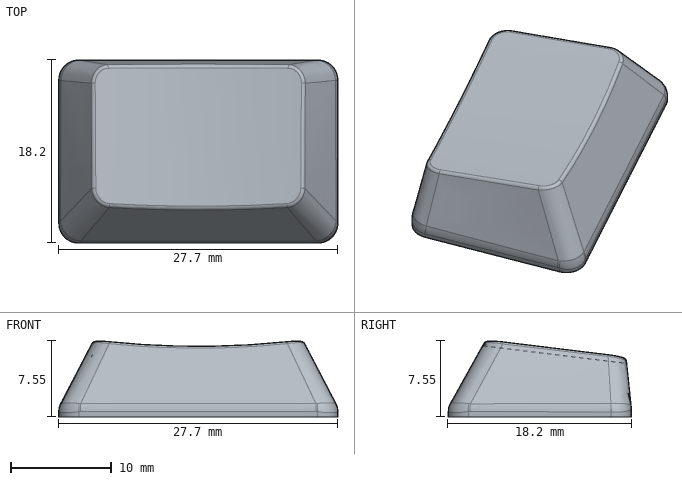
import cadquery as cq

length = 27.69
width = 18.16
skirt_height = 0.97
skirt_corner_radius = 2.0

tilt = 7.0
block_top_length = 20.7
block_top_width = 13.86
block_top_center_y = 1.66
block_top_center_height = 7.05
block_top_corner_radius = 1.8

dish_radius = 80.0
dish_depth = 0.88

bend_radius = 1.6
rim_radius = 0.4

edge_tolerance = 0.01

top_plane = cq.Plane((0, block_top_center_y, block_top_center_height)).rotated((-tilt, 0, 0))


def rounded_rectangle(size_x, size_y, radius):
    """Return a centered rectangle with rounded corners."""
    return cq.Sketch().rect(size_x, size_y).vertices().fillet(radius)


def tapered_body():
    """Vertical skirt topped by four sloping walls, with the bend between them rounded."""
    footprint = rounded_rectangle(length, width, skirt_corner_radius)
    block_top = rounded_rectangle(block_top_length, block_top_width, block_top_corner_radius)
    skirt = cq.Workplane("XY").placeSketch(footprint).extrude(skirt_height)
    block = (
        cq.Workplane("XY")
        .placeSketch(
            footprint.moved(cq.Location(cq.Vector(0, 0, skirt_height))),
            block_top.moved(cq.Location(top_plane)),
        )
        .loft(ruled=True)
    )
    bend_edges = cq.selectors.BoxSelector(
        (-length, -width, skirt_height - edge_tolerance),
        (length, width, skirt_height + edge_tolerance),
    )
    return skirt.union(block).edges(bend_edges).fillet(bend_radius)


def dish_cutter():
    """Cylinder along the tilted top that removes everything above the dish."""
    return (
        cq.Workplane(top_plane)
        .transformed(rotate=(90, 0, 0))
        .center(0, dish_radius - dish_depth)
        .circle(dish_radius)
        .extrude(width, both=True)
    )


def keycap():
    """Cut the dish into the tapered body and round its rim."""
    dished = tapered_body().cut(dish_cutter())
    return dished.faces(">Z").edges().fillet(rim_radius)


result = keycap()